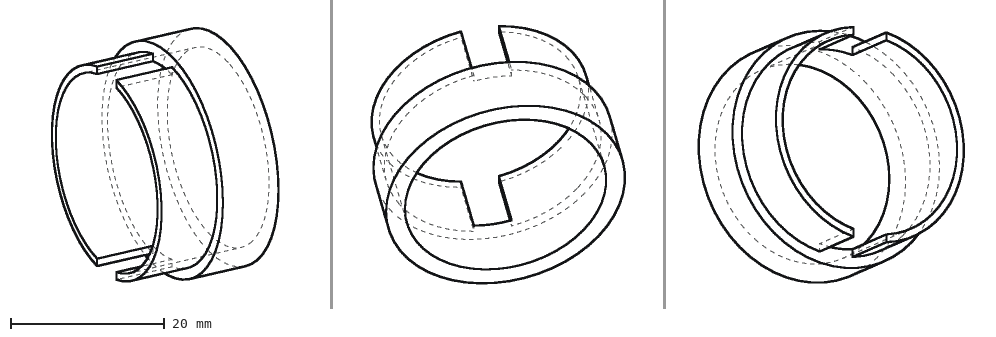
import cadquery as cq

outer_diameter = 31.67
sleeve_diameter = 28.75
bore_diameter = 26.67
total_length = 16.65
collar_length = total_length / 2
sleeve_length = total_length - collar_length
slot_width = 5.0


def ring(diameter, length):
    """Ring around the Y axis, from the step face (y = 0) toward -Y."""
    return (
        cq.Workplane("XZ")
        .circle(diameter / 2)
        .circle(bore_diameter / 2)
        .extrude(length)
    )


collar = ring(outer_diameter, collar_length).translate((0, collar_length, 0))

slot = (
    cq.Workplane("XZ")
    .rect(slot_width, outer_diameter)
    .extrude(sleeve_length)
)
sleeve = ring(sleeve_diameter, sleeve_length).cut(slot)

result = collar.union(sleeve)